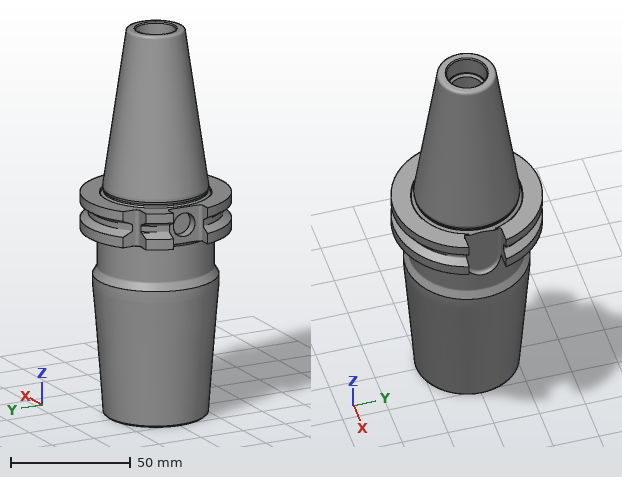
import cadquery as cq
import math

TOTAL_LENGTH = 168.4
SHANK_LENGTH = 68.4
COLLAR_HEIGHT = 1.2
FLANGE_TOP = 96.8
FLANGE_BOTTOM = 81.0
SHOULDER_TOP = 64.3
SHOULDER_BOTTOM = 61.1
GRIP_TOP = 58.6
GRIP_BLEND_HEIGHT = 2.5
GAUGE_PLANE = TOTAL_LENGTH - SHANK_LENGTH

SHANK_END_DIAMETER = 24.6
GAUGE_DIAMETER = 44.5
NECK_DIAMETER = 43.8
FLANGE_DIAMETER = 63.5
BODY_DIAMETER = 49.2
GRIP_DIAMETER = 53.0

SHANK_FILLET = 1.3
NECK_STEP = 1.0
FACE_RELIEF_DIAMETER = 47.0
FACE_RELIEF_DEPTH = 1.0
FACE_RELIEF_SLOPE_WIDTH = 1.3
BODY_CONE_HEIGHT = 1.0
BODY_CONE_WIDTH = 0.3
SHOULDER_FILLET = 1.5
GROOVE_FILLET = 0.5
BOTTOM_CHAMFER = 0.8
GRIP_HALF_ANGLE = math.radians(4.5)

GROOVE_CENTER = 89.0
GROOVE_WIDTH = 7.0
GROOVE_ROOT_DIAMETER = 56.5
GROOVE_FLANK_ANGLE = math.radians(30)

SLOT_WIDTH = 16.2
SLOT_CORNER_RADIUS = 1.3
LEFT_SLOT_FLOOR = 25.1
RIGHT_SLOT_FLOOR = 22.7
NOTCH_X = 18.7
NOTCH_Y = 18.5
NOTCH_CORNER_RADIUS = 1.5

DRILL_HALF_ANGLE = math.radians(59)
SIDE_HOLE_DIAMETER = 10.3
SIDE_HOLE_DEPTH = 4.4
BORE_DIAMETER = 17.0
BORE_DEPTH = 8.3
BORE_CHAMFER = 0.5
THREAD_DIAMETER = 14.0
THREAD_DEPTH = 37.0
THREAD_CHAMFER = 1.0


def revolve_outline(outline):
    """Revolve a closed (radius, height) outline about the Z axis."""
    return outline.close().revolve(360, (0, 0, 0), (0, 1, 0))


def make_body():
    """Turned blank: shank, collar, flange, body, shoulder and grip cone."""
    gauge_radius = GAUGE_DIAMETER / 2
    neck_radius = NECK_DIAMETER / 2
    body_radius = BODY_DIAMETER / 2
    grip_radius = GRIP_DIAMETER / 2
    collar_bottom = GAUGE_PLANE - COLLAR_HEIGHT
    relief_floor = FLANGE_TOP - FACE_RELIEF_DEPTH

    shank_slope = (GAUGE_DIAMETER - SHANK_END_DIAMETER) / 2 / SHANK_LENGTH
    shank_half_angle = math.atan(shank_slope)
    fillet_setback = SHANK_FILLET * math.tan((math.pi / 2 - shank_half_angle) / 2)
    fillet_top_radius = SHANK_END_DIAMETER / 2 - fillet_setback
    fillet_low_radius = SHANK_END_DIAMETER / 2 + fillet_setback * math.sin(shank_half_angle)
    fillet_low_height = TOTAL_LENGTH - fillet_setback * math.cos(shank_half_angle)

    shoulder_angle = math.atan((grip_radius - body_radius) / (SHOULDER_TOP - SHOULDER_BOTTOM))
    shoulder_setback = SHOULDER_FILLET * math.tan(shoulder_angle / 2)
    shoulder_arc_radius = body_radius + shoulder_setback * math.sin(shoulder_angle)
    shoulder_arc_height = SHOULDER_TOP - shoulder_setback * math.cos(shoulder_angle)

    blend_bottom = GRIP_TOP - GRIP_BLEND_HEIGHT
    blend_radius = grip_radius - GRIP_BLEND_HEIGHT * math.tan(GRIP_HALF_ANGLE / 2)
    bottom_radius = blend_radius - blend_bottom * math.tan(GRIP_HALF_ANGLE)
    chamfer_radius = bottom_radius + BOTTOM_CHAMFER * math.tan(GRIP_HALF_ANGLE)

    outline = (
        cq.Workplane("XZ")
        .moveTo(0, TOTAL_LENGTH)
        .lineTo(fillet_top_radius, TOTAL_LENGTH)
        .tangentArcPoint((fillet_low_radius, fillet_low_height), relative=False)
        .lineTo(gauge_radius, GAUGE_PLANE)
        .lineTo(gauge_radius, collar_bottom)
        .lineTo(neck_radius, collar_bottom - NECK_STEP)
        .lineTo(neck_radius, relief_floor + FACE_RELIEF_SLOPE_WIDTH)
        .lineTo(neck_radius + FACE_RELIEF_SLOPE_WIDTH, relief_floor)
        .lineTo(FACE_RELIEF_DIAMETER / 2, relief_floor)
        .lineTo(FACE_RELIEF_DIAMETER / 2, FLANGE_TOP)
        .lineTo(FLANGE_DIAMETER / 2, FLANGE_TOP)
        .lineTo(FLANGE_DIAMETER / 2, FLANGE_BOTTOM)
        .lineTo(body_radius + BODY_CONE_WIDTH, FLANGE_BOTTOM)
        .lineTo(body_radius, FLANGE_BOTTOM - BODY_CONE_HEIGHT)
        .lineTo(body_radius, SHOULDER_TOP + shoulder_setback)
        .tangentArcPoint((shoulder_arc_radius, shoulder_arc_height), relative=False)
        .lineTo(grip_radius, SHOULDER_BOTTOM)
        .lineTo(grip_radius, GRIP_TOP)
        .tangentArcPoint((blend_radius, blend_bottom), relative=False)
        .lineTo(chamfer_radius, BOTTOM_CHAMFER)
        .lineTo(bottom_radius - BOTTOM_CHAMFER, 0)
        .lineTo(0, 0)
    )
    return revolve_outline(outline)


def make_flange_groove():
    """Ring with a trapezoidal section that cuts the V-groove."""
    rim_radius = FLANGE_DIAMETER / 2
    root_radius = GROOVE_ROOT_DIAMETER / 2
    rim_half = GROOVE_WIDTH / 2
    root_half = rim_half - (rim_radius - root_radius) * math.tan(GROOVE_FLANK_ANGLE)
    outline = (
        cq.Workplane("XZ")
        .moveTo(rim_radius, GROOVE_CENTER + rim_half)
        .lineTo(root_radius, GROOVE_CENTER + root_half)
        .lineTo(root_radius, GROOVE_CENTER - root_half)
        .lineTo(rim_radius, GROOVE_CENTER - rim_half)
    )
    ring = revolve_outline(outline)
    root_edges = cq.selectors.RadiusNthSelector(0)
    return ring.edges("%CIRCLE").edges(root_edges).fillet(GROOVE_FILLET)


def make_drive_slot(floor):
    """Slot on the +X side, open at the top, with a round lower end."""
    half_width = SLOT_WIDTH / 2
    return (
        cq.Workplane("YZ", origin=(floor, 0, 0))
        .moveTo(-half_width, FLANGE_TOP)
        .lineTo(-half_width, FLANGE_BOTTOM)
        .threePointArc((0, FLANGE_BOTTOM - half_width), (half_width, FLANGE_BOTTOM))
        .lineTo(half_width, FLANGE_TOP)
        .close()
        .extrude(FLANGE_DIAMETER / 2 - floor)
        .faces("<X")
        .edges("not(>Z)")
        .fillet(SLOT_CORNER_RADIUS)
    )


def make_orientation_notch():
    """Corner cut through the flange on the -X, +Y side."""
    rim_radius = FLANGE_DIAMETER / 2
    return (
        cq.Workplane("XY", origin=(-NOTCH_X, NOTCH_Y, FLANGE_BOTTOM))
        .rect(NOTCH_X - rim_radius, rim_radius - NOTCH_Y, centered=False)
        .extrude(FLANGE_TOP - FLANGE_BOTTOM)
        .edges("|Z and >X and <Y")
        .fillet(NOTCH_CORNER_RADIUS)
    )


def make_side_hole():
    """Flat-bottomed hole in the floor of the -X slot."""
    return (
        cq.Workplane("YZ", origin=(-LEFT_SLOT_FLOOR, 0, GROOVE_CENTER))
        .circle(SIDE_HOLE_DIAMETER / 2)
        .extrude(SIDE_HOLE_DEPTH)
    )


def make_shank_bore():
    """Counterbore and tapping hole in the small end of the shank."""
    bore_radius = BORE_DIAMETER / 2
    thread_radius = THREAD_DIAMETER / 2
    bore_floor = TOTAL_LENGTH - BORE_DEPTH
    thread_floor = TOTAL_LENGTH - THREAD_DEPTH
    outline = (
        cq.Workplane("XZ")
        .moveTo(0, TOTAL_LENGTH)
        .lineTo(bore_radius + BORE_CHAMFER, TOTAL_LENGTH)
        .lineTo(bore_radius, TOTAL_LENGTH - BORE_CHAMFER)
        .lineTo(bore_radius, bore_floor)
        .lineTo(thread_radius + THREAD_CHAMFER, bore_floor)
        .lineTo(thread_radius, bore_floor - THREAD_CHAMFER)
        .lineTo(thread_radius, thread_floor)
        .lineTo(0, thread_floor - thread_radius / math.tan(DRILL_HALF_ANGLE))
    )
    return revolve_outline(outline)


right_slot = make_drive_slot(RIGHT_SLOT_FLOOR)
left_slot = make_drive_slot(LEFT_SLOT_FLOOR).rotate((0, 0, 0), (0, 0, 1), 180)

result = (
    make_body()
    .cut(make_flange_groove())
    .cut(right_slot)
    .cut(left_slot)
    .cut(make_orientation_notch())
    .cut(make_side_hole())
    .cut(make_shank_bore())
)